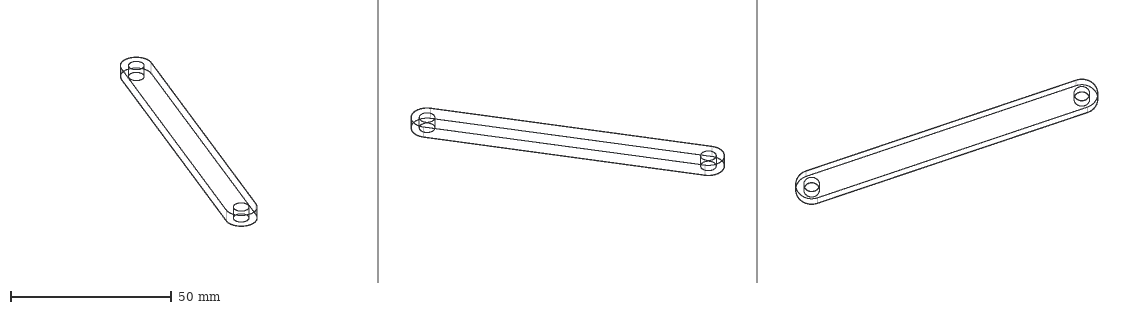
import cadquery as cq

length = 100.0
width = 10.0
thickness = 4.0
hole_diameter = 4.9

hole_spacing = length - width


def link_body():
    """Solid bar whose ends are full half circles."""
    return cq.Workplane("XY").slot2D(length, width).extrude(thickness)


def drill_pivot_holes(body):
    """Cut one through hole at the centre of each rounded end."""
    hole_centres = [(-hole_spacing / 2, 0), (hole_spacing / 2, 0)]
    return body.faces(">Z").workplane().pushPoints(hole_centres).hole(hole_diameter)


result = drill_pivot_holes(link_body())